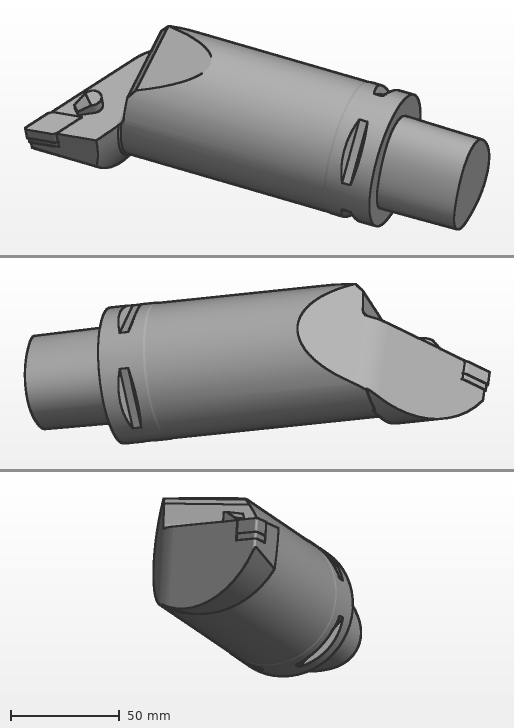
import cadquery as cq
import math


SHANK_LENGTH = 38.0
SHANK_RADIUS_BASE = 22.0
SHANK_RADIUS_END = 21.3
LOBE_HEIGHT = 1.32

FLANGE_DIAMETER = 63.0
FLANGE_LENGTH = 21.5
BODY_DIAMETER = 62.5
STEP_CHAMFER_LENGTH = 1.0

SLOT_X = -12.0
SLOT_FLOOR_WIDTH = 4.0
SLOT_FLOOR_RADIUS = 27.6
SLOT_WALL_ANGLE = 28.0
SLOT_COUNT = 4
SLOT_FIRST_ANGLE = 45.0
SLOT_LENGTH = 61.0

TIP_X = -165.0
TIP_Y = -45.0
RAKE_SLOPE = 0.1

INSERT_SIDE = 15.5
INSERT_ANGLE = 55.0
END_EDGE_ANGLE = 3.0
INSERT_THICKNESS = 6.3
NOSE_RADIUS = 0.8
SIDE_CORNER_RADIUS = 4.0
SHIM_THICKNESS = 3.0
SHIM_INSET = 0.3
HEAD_INSET = 0.6

HEAD_BACK_X = -124.0
HEAD_BELLY_RADIUS = 44.7
HEAD_BELLY_Y = -6.3
HEAD_BOTTOM_Z = -32.0
HEAD_NECK_RADIUS = 32.0
HEAD_CONE_ANGLE = 59.0
SHOULDER_X = -123.2
SHOULDER_Y = 16.2
SHOULDER_ANGLE = 27.2
SHOULDER_BLEND_RADIUS = 24.4

WALL_X = -122.2
WALL_FILLET = 3.0
WALL_CHAMFER = 3.0
FLAT_EDGE_Z = 24.0
FLAT_SLOPE = 0.257

CLAMP_DIAMETER = 9.0
CLAMP_X = -139.7
CLAMP_Y = -23.5
CLAMP_DIRECTION = 222.0
CLAMP_HEIGHT = 5.5
CLAMP_NOSE_START = 1.8
CLAMP_NOSE_REACH = 8.3
CLAMP_NOSE_WIDTH = 4.5
CLAMP_NOSE_HEIGHT = 2.5

MARGIN = 81.2

FLANGE_RADIUS = FLANGE_DIAMETER / 2
BODY_RADIUS = BODY_DIAMETER / 2
RAKE_NORMAL = cq.Vector(-RAKE_SLOPE, -RAKE_SLOPE, 1).normalized()
FLANK_ANGLE = END_EDGE_ANGLE + INSERT_ANGLE


def direction(angle):
    """Unit step in plan at an angle from +X."""
    return math.cos(math.radians(angle)), math.sin(math.radians(angle))


def move(point, angle, distance):
    """Plan point reached by going a distance at an angle."""
    dx, dy = direction(angle)
    return point[0] + distance * dx, point[1] + distance * dy


def rake_z(x, y):
    return RAKE_SLOPE * (x - TIP_X) + RAKE_SLOPE * (y - TIP_Y)


def on_rake(point):
    return cq.Vector(point[0], point[1], rake_z(*point))


def rake_prism(points, bottom, top):
    """Prism square to the rake plane, its heights measured from that plane."""
    base = [on_rake(point) + RAKE_NORMAL * bottom for point in points]
    wire = cq.Wire.makePolygon(base, close=True)
    solid = cq.Solid.extrudeLinear(wire, [], RAKE_NORMAL * (top - bottom))
    return cq.Workplane(obj=solid)


def round_corner(prism, point, radius):
    """Fillet the prism edge that stands over a plan point."""
    def distance(edge):
        foot = on_rake(point)
        return (edge.Center() - foot).cross(RAKE_NORMAL).Length
    corner = min(prism.edges().vals(), key=distance)
    return prism.newObject([corner]).fillet(radius)


def corner_at_tip(inset):
    """Sharp corner of the cutting outline, moved in from both edges."""
    nose_centre = (TIP_X + NOSE_RADIUS, TIP_Y + NOSE_RADIUS)
    half_angle = INSERT_ANGLE / 2
    setback = (NOSE_RADIUS - inset) / math.sin(math.radians(half_angle))
    return move(nose_centre, END_EDGE_ANGLE + half_angle, -setback)


def rhombus(inset):
    """Rhombus with a fixed inner corner and its two outer edges moved in."""
    side = INSERT_SIDE - inset / math.sin(math.radians(INSERT_ANGLE))
    tip = corner_at_tip(inset)
    end_corner = move(tip, END_EDGE_ANGLE, side)
    inner_corner = move(end_corner, FLANK_ANGLE, side)
    flank_corner = move(tip, FLANK_ANGLE, side)
    return [tip, end_corner, inner_corner, flank_corner]


def rounded_rhombus(inset, bottom, top):
    corners = rhombus(inset)
    radii = [NOSE_RADIUS, SIDE_CORNER_RADIUS, NOSE_RADIUS, SIDE_CORNER_RADIUS]
    prism = rake_prism(corners, bottom, top)
    for corner, radius in zip(corners, radii):
        prism = round_corner(prism, corner, radius)
    return prism


def make_body():
    """Round body and flange, with a short cone where the diameter steps up."""
    profile = [
        (HEAD_BACK_X, 0),
        (HEAD_BACK_X, BODY_RADIUS),
        (-FLANGE_LENGTH - STEP_CHAMFER_LENGTH, BODY_RADIUS),
        (-FLANGE_LENGTH, FLANGE_RADIUS),
        (0, FLANGE_RADIUS),
        (0, 0),
    ]
    return cq.Workplane("XY").polyline(profile).close().revolve(360, (0, 0), (1, 0))


def make_head_blank():
    """Belly cylinder of the head, limited at the back by a cone around the tool axis."""
    belly_z = HEAD_BOTTOM_Z + HEAD_BELLY_RADIUS
    front_x = TIP_X - MARGIN
    belly = (
        cq.Workplane("YZ", origin=(front_x, HEAD_BELLY_Y, belly_z))
        .circle(HEAD_BELLY_RADIUS)
        .extrude(WALL_X - front_x)
    )
    cone_length = MARGIN / math.tan(math.radians(HEAD_CONE_ANGLE))
    limit_profile = [
        (front_x, 0),
        (front_x, HEAD_NECK_RADIUS + MARGIN),
        (HEAD_BACK_X - cone_length, HEAD_NECK_RADIUS + MARGIN),
        (HEAD_BACK_X, HEAD_NECK_RADIUS),
        (HEAD_BACK_X + STEP_CHAMFER_LENGTH, BODY_RADIUS),
        (HEAD_BACK_X + STEP_CHAMFER_LENGTH, 0),
    ]
    limit = cq.Workplane("XY").polyline(limit_profile).close().revolve(360, (0, 0), (1, 0))
    return belly.intersect(limit)


def make_outline_prism():
    """Plan outline of the tool: end edge, flank, and oblique shoulder blended into the flank."""
    tip = corner_at_tip(HEAD_INSET)
    shoulder = (SHOULDER_X, SHOULDER_Y)
    gap_x = shoulder[0] - tip[0]
    gap_y = shoulder[1] - tip[1]
    shoulder_dx, shoulder_dy = direction(SHOULDER_ANGLE)
    turn = math.radians(FLANK_ANGLE - SHOULDER_ANGLE)
    flank_length = (gap_y * shoulder_dx - gap_x * shoulder_dy) / math.sin(turn)
    corner = move(tip, FLANK_ANGLE, flank_length)
    end_edge_length = WALL_X - TIP_X
    outline = [
        tip,
        move(tip, END_EDGE_ANGLE, end_edge_length),
        (MARGIN, TIP_Y - MARGIN),
        move(corner, SHOULDER_ANGLE, 3 * MARGIN),
        corner,
    ]
    prism = rake_prism(outline, -2 * MARGIN, MARGIN)
    prism = round_corner(prism, corner, SHOULDER_BLEND_RADIUS)
    return round_corner(prism, tip, NOSE_RADIUS)


def make_step_cut():
    """Space above the rake face, the wall behind it, its chamfer and the sloping flat."""
    front_x = TIP_X - MARGIN
    flat_x = WALL_X + WALL_CHAMFER
    profile = [
        (front_x, rake_z(front_x, 0)),
        (WALL_X, rake_z(WALL_X, 0)),
        (WALL_X, FLAT_EDGE_Z - WALL_CHAMFER),
        (flat_x, FLAT_EDGE_Z),
        (flat_x + MARGIN, FLAT_EDGE_Z + FLAT_SLOPE * MARGIN),
        (flat_x + MARGIN, MARGIN),
        (front_x, MARGIN),
    ]
    drop = RAKE_SLOPE * MARGIN
    points = [cq.Vector(x, -MARGIN, z - drop) for x, z in profile]
    sweep = cq.Vector(0, 2 * MARGIN, 2 * drop)
    solid = cq.Solid.extrudeLinear(cq.Wire.makePolygon(points, close=True), [], sweep)
    cut = cq.Workplane(obj=solid)
    root = (WALL_X, 0, rake_z(WALL_X, 0))
    return cut.edges(cq.NearestToPointSelector(root)).fillet(WALL_FILLET)


def make_slot(angle):
    """Straight slot with sloping walls, cut across the flange rim."""
    depth = FLANGE_RADIUS - SLOT_FLOOR_RADIUS
    half_floor = SLOT_FLOOR_WIDTH / 2
    half_mouth = half_floor + depth * math.tan(math.radians(SLOT_WALL_ANGLE))
    profile = [
        (SLOT_X - half_floor, SLOT_FLOOR_RADIUS),
        (SLOT_X + half_floor, SLOT_FLOOR_RADIUS),
        (SLOT_X + half_mouth, FLANGE_RADIUS),
        (SLOT_X - half_mouth, FLANGE_RADIUS),
    ]
    slot = cq.Workplane("XZ").polyline(profile).close().extrude(SLOT_LENGTH / 2, both=True)
    return slot.rotate((0, 0, 0), (1, 0, 0), angle)


def make_shank():
    """Three-lobed taper with one lobe pointing up."""
    def section(mean_radius):
        def point(turn):
            angle = 2 * math.pi * turn
            radius = mean_radius + LOBE_HEIGHT * math.cos(3 * (angle - math.pi / 2))
            return radius * math.cos(angle), radius * math.sin(angle)
        return point

    return (
        cq.Workplane("YZ")
        .parametricCurve(section(SHANK_RADIUS_BASE))
        .workplane(offset=SHANK_LENGTH)
        .parametricCurve(section(SHANK_RADIUS_END))
        .loft(ruled=True)
    )


def make_clamp():
    """Clamp head: round at the back, narrowing and sloping down towards the insert."""
    centre = (CLAMP_X, CLAMP_Y)
    radius = CLAMP_DIAMETER / 2
    forward = direction(CLAMP_DIRECTION)
    plane = cq.Plane(
        origin=on_rake(centre).toTuple(),
        xDir=(forward[0], forward[1], RAKE_SLOPE * (forward[0] + forward[1])),
        normal=RAKE_NORMAL.toTuple(),
    )
    shoulder = math.sqrt(radius**2 - CLAMP_NOSE_START**2)
    half_nose = CLAMP_NOSE_WIDTH / 2
    clamp = (
        cq.Workplane(plane)
        .moveTo(CLAMP_NOSE_START, shoulder)
        .threePointArc((-radius, 0), (CLAMP_NOSE_START, -shoulder))
        .lineTo(CLAMP_NOSE_REACH, -half_nose)
        .lineTo(CLAMP_NOSE_REACH, half_nose)
        .close()
        .extrude(CLAMP_HEIGHT)
    )
    nose_plane = cq.Plane(origin=plane.origin, xDir=plane.xDir, normal=-plane.yDir)
    nose_cut = (
        cq.Workplane(nose_plane)
        .moveTo(CLAMP_NOSE_START, CLAMP_HEIGHT)
        .lineTo(CLAMP_NOSE_REACH, CLAMP_HEIGHT)
        .lineTo(CLAMP_NOSE_REACH, CLAMP_NOSE_HEIGHT)
        .close()
        .extrude(CLAMP_DIAMETER, both=True)
    )
    return clamp.cut(nose_cut)


def make_holder():
    """Holder in one piece with its shank, shim and clamp."""
    holder = make_body().union(make_head_blank())
    holder = holder.intersect(make_outline_prism()).cut(make_step_cut())
    for index in range(SLOT_COUNT):
        holder = holder.cut(make_slot(SLOT_FIRST_ANGLE + index * 360 / SLOT_COUNT))
    seat = -INSERT_THICKNESS - SHIM_THICKNESS
    holder = holder.cut(rake_prism(rhombus(0), seat, MARGIN))
    holder = holder.union(rounded_rhombus(SHIM_INSET, seat, -INSERT_THICKNESS))
    return holder.union(make_shank()).union(make_clamp())


def make_insert():
    return rounded_rhombus(0, -INSERT_THICKNESS, 0)


holder = make_holder()
insert = make_insert()
result = cq.Compound.makeCompound([holder.solids().val(), insert.solids().val()])